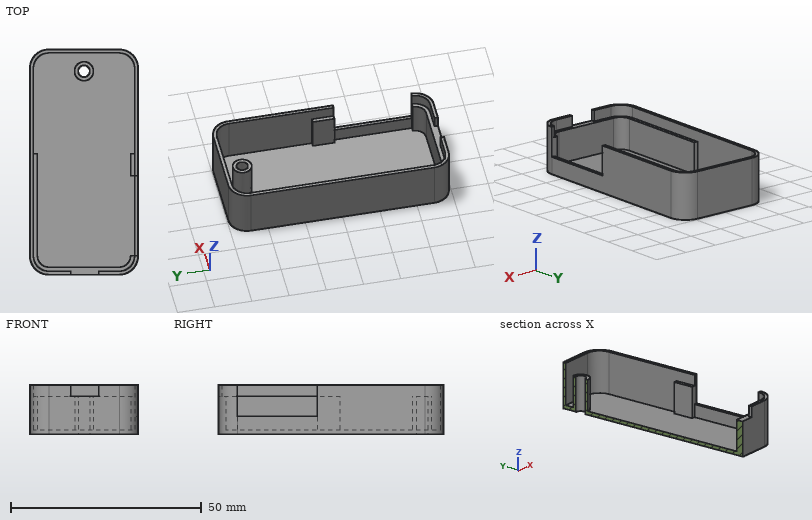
import cadquery as cq

length = 59.2
width = 28.5
height = 13.0
corner_radius = 5.0
wall = 0.95
floor = 1.2

ledge_width = 1.05
ledge_top = height - 3.0
ledge_end_y = 2.25

notch_width = 7.4
notch_center_x = 0.2
side_opening_bottom = 4.8
side_opening_back_y = -3.6
side_opening_front_y = -length / 2 + corner_radius

post_diameter = 5.0
post_hole_diameter = 3.0
post_y = 23.85


def rounded_block(inset, bottom, top):
    """Vertical block following the outer outline, moved inward by inset."""
    return (
        cq.Workplane("XY", origin=(0, 0, bottom))
        .rect(width - 2 * inset, length - 2 * inset)
        .extrude(top - bottom)
        .edges("|Z")
        .fillet(corner_radius - inset)
    )


def box_between(x_range, y_range, z_range):
    """Axis-aligned box given by its limits along each axis."""
    sizes = [end - start for start, end in (x_range, y_range, z_range)]
    corner = (x_range[0], y_range[0], z_range[0])
    return cq.Workplane("XY").box(*sizes, centered=False).translate(corner)


def make_ledge():
    """Half ring against the inside of the walls, from the front end to ledge_end_y."""
    outer = rounded_block(wall / 2, floor / 2, ledge_top)
    ring = outer.cut(rounded_block(wall + ledge_width, 0, height))
    front_part = box_between((-width / 2, width / 2), (-length / 2, ledge_end_y), (0, height))
    return ring.intersect(front_part)


def make_post():
    """Post standing on the floor."""
    return cq.Workplane("XY").center(0, post_y).circle(post_diameter / 2).extrude(ledge_top)


def make_front_notch():
    """Notch in the front wall, level with the ledge top."""
    left = notch_center_x - notch_width / 2
    front = -length / 2
    back = front + wall + ledge_width
    return box_between((left, left + notch_width), (front, back), (ledge_top, height))


def make_side_opening():
    """Opening through the +X wall and its ledge."""
    return box_between(
        (width / 2 - wall - ledge_width, width / 2),
        (side_opening_front_y, side_opening_back_y),
        (side_opening_bottom, height),
    )


def make_side_relief():
    """Gap in the ledge below the side opening, down to the floor."""
    return box_between(
        (width / 2 - wall - ledge_width, width / 2 - wall),
        (side_opening_front_y, side_opening_back_y),
        (floor, height),
    )


tray = rounded_block(0, 0, height).cut(rounded_block(wall, floor, height))
tray = tray.union(make_ledge()).union(make_post())
tray = tray.cut(make_front_notch()).cut(make_side_opening()).cut(make_side_relief())
post_hole = cq.Workplane("XY").center(0, post_y).circle(post_hole_diameter / 2).extrude(height)
result = tray.cut(post_hole)